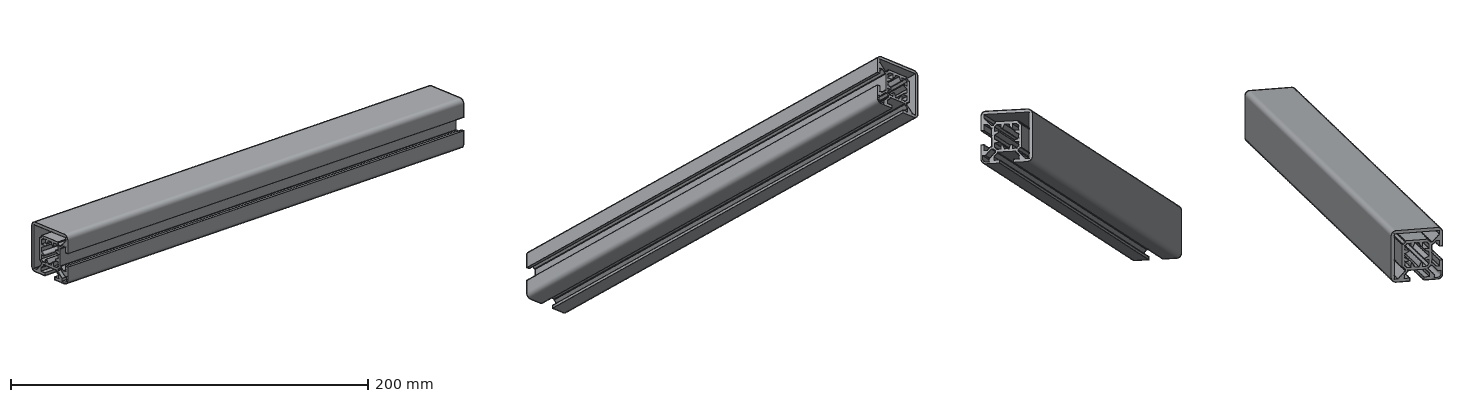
import cadquery as cq


LENGTH = 300.0
SIDE = 30.0
OUTER_RADIUS = 3.0
WALL = 1.83
HALF = SIDE / 2
INNER_FACE = HALF - WALL

SIDE_GAP = 4.5
CORE_WALL = 1.65
CORE_NOTCH = 1.95
NOTCH_CHAMFER = 1.3
BORE_CHAMFER = 1.32
CORE_HALF = INNER_FACE - SIDE_GAP
NOTCH_FACE = CORE_HALF - CORE_NOTCH
BORE_HALF = CORE_HALF - CORE_WALL

TOOTH_HEIGHT = 2.3
TOOTH_BASE_START = 1.15
TOOTH_TIP_START = 2.5
TOOTH_END = 3.3
TOOTH_TIP_RADIUS = 0.4

SLOT_OPENING = 8.0
SLOT_UNDERCUT = 3.3
SHOULDER_HEIGHT = 0.55
OPENING_HALF = SLOT_OPENING / 2
CHAMBER_HALF = OPENING_HALF + SLOT_UNDERCUT
SHOULDER_FACE = CORE_HALF + SHOULDER_HEIGHT

WEB_HOLLOW_OFFSET = 2.0
WEB_SLOT_OFFSET = 4.0

CORNER_WALL = 1.05
CORNER_LEDGE = 10.2
CORNER_FACE = HALF - CORNER_WALL
CORNER_RADIUS = OUTER_RADIUS - CORNER_WALL


def across_diagonal(points):
    """Mirror section points about x = -z, reversed so that an outline can continue through them."""
    return [(-z, -x) for x, z in reversed(points)]


def prism(points):
    """Closed section outline extruded over the full length, centred on Y."""
    return cq.Workplane("XZ").polyline(points).close().extrude(LENGTH / 2, both=True)


def square_prism(size):
    return cq.Workplane("XZ").rect(size, size).extrude(LENGTH / 2, both=True)


def core_notch(x_sign):
    """Notched upper corner of the core, from its top face to its side face."""
    inside = NOTCH_FACE + NOTCH_CHAMFER
    corner = [
        (NOTCH_FACE, CORE_HALF),
        (NOTCH_FACE, inside),
        (inside, NOTCH_FACE),
        (CORE_HALF, NOTCH_FACE),
    ]
    return [(x_sign * x, z) for x, z in corner]


def side_hollow():
    """L-shaped hollow behind the closed +Z and -X sides."""
    web_end = [
        *core_notch(1),
        (NOTCH_FACE + WEB_HOLLOW_OFFSET, NOTCH_FACE),
        (INNER_FACE, INNER_FACE - WEB_HOLLOW_OFFSET),
        (INNER_FACE, INNER_FACE),
    ]
    closed_corner = (-INNER_FACE, INNER_FACE)
    core_corner = reversed(core_notch(-1))
    return prism([*core_corner, *web_end, closed_corner, *across_diagonal(web_end)])


def corner_hollow():
    """Thin-walled hollow in the +X -Z corner, between the two slots."""
    inside = NOTCH_FACE + NOTCH_CHAMFER
    upper_face = [
        (inside, -NOTCH_FACE),
        (NOTCH_FACE + WEB_HOLLOW_OFFSET, -NOTCH_FACE),
        (CORNER_LEDGE + WEB_HOLLOW_OFFSET, -CORNER_LEDGE),
        (CORNER_FACE, -CORNER_LEDGE),
    ]
    corner = (CORNER_FACE, -CORNER_FACE)
    hollow = prism([*upper_face, corner, *across_diagonal(upper_face)])
    corner_edge = cq.selectors.NearestToPointSelector((CORNER_FACE, 0, -CORNER_FACE))
    return hollow.edges(corner_edge).fillet(CORNER_RADIUS)


def slot_points():
    """Outline of the T-slot in the +X side."""
    shoulder_edge = SHOULDER_FACE - WEB_SLOT_OFFSET
    upper_half = [
        (CORE_HALF, shoulder_edge),
        (SHOULDER_FACE, shoulder_edge),
        (CHAMBER_HALF + WEB_SLOT_OFFSET, CHAMBER_HALF),
        (INNER_FACE, CHAMBER_HALF),
        (INNER_FACE, OPENING_HALF),
        (HALF, OPENING_HALF),
    ]
    lower_half = [(x, -z) for x, z in reversed(upper_half)]
    return upper_half + lower_half


def tooth(side):
    """One tooth on the top of the bore, right (1) or left (-1) of the middle, with a rounded tip."""
    tip = BORE_HALF - TOOTH_HEIGHT
    blank = prism([
        (side * TOOTH_BASE_START, BORE_HALF),
        (side * TOOTH_TIP_START, tip),
        (side * TOOTH_END, tip),
        (side * TOOTH_END, BORE_HALF),
    ])
    return blank.faces("<Z").edges("|Y").fillet(TOOTH_TIP_RADIUS)


def core_bore():
    """Chamfered square bore with a pair of teeth left standing on each side."""
    bore = square_prism(2 * BORE_HALF).edges("|Y").chamfer(BORE_CHAMFER)
    for side in (-1, 1):
        for angle in (0, 90, 180, 270):
            bore = bore.cut(tooth(side).rotate((0, 0, 0), (0, 1, 0), angle))
    return bore


outer_bar = square_prism(SIDE).edges("|Y").fillet(OUTER_RADIUS)

result = (
    outer_bar
    .cut(side_hollow())
    .cut(corner_hollow())
    .cut(prism(slot_points()))
    .cut(prism(across_diagonal(slot_points())))
    .cut(core_bore())
)